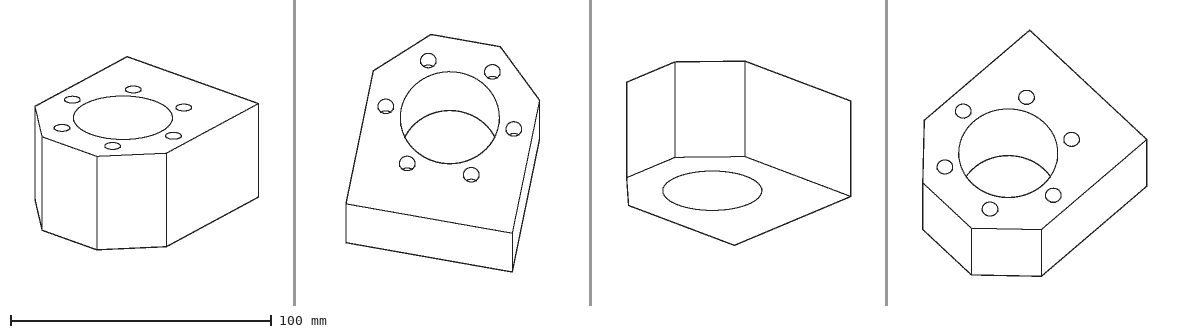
import cadquery as cq

length = 75.0
width = 65.0
height = 40.0
corner_chamfer = 19.0

bore_diameter = 38.0
bore_y = width / 2

bolt_count = 6
bolt_circle_diameter = 50.0
bolt_hole_diameter = 6.0
bolt_hole_depth = 12.0


def make_block():
    """Block with its front face at Y = 0 and its two front corners cut off."""
    block = cq.Workplane("XY").box(width, length, height, centered=(True, False, False))
    return block.edges("|Z and <Y").chamfer(corner_chamfer)


def make_bore():
    """Cylinder through the full height of the block."""
    return cq.Workplane("XY").center(0, bore_y).circle(bore_diameter / 2).extrude(height)


def make_bolt_holes():
    """Ring of flat-bottomed holes sunk from the top face."""
    return (
        cq.Workplane("XY", origin=(0, bore_y, height))
        .polarArray(bolt_circle_diameter / 2, 0, 360, bolt_count)
        .circle(bolt_hole_diameter / 2)
        .extrude(-bolt_hole_depth)
    )


result = make_block().cut(make_bore()).cut(make_bolt_holes())